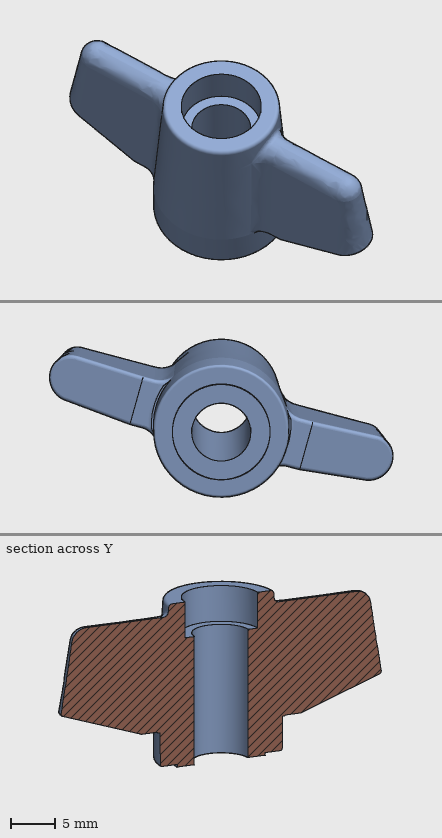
import cadquery as cq
import math

TOTAL_HEIGHT = 19.3
FOOT_HEIGHT = 0.3
COLLAR_TOP = 4.3

FOOT_DIAMETER = 11.0
COLLAR_DIAMETER = 15.25
HUB_TOP_DIAMETER = 13.1
COLLAR_EDGE_RADIUS = 0.3
HUB_TOP_EDGE_RADIUS = 0.45

BORE_DIAMETER = 6.65
COUNTERBORE_DIAMETER = 9.0
COUNTERBORE_DEPTH = 4.2

WING_TOP = 17.85
WING_BOTTOM = 4.4
WING_TOP_HALF_WIDTH = 1.72
WING_TOP_REACH = 18.37
SIDE_DRAFT = 5.0
TIP_DRAFT = 9.2
WING_TOP_EDGE_RADIUS = 1.79
WING_BOTTOM_EDGE_RADIUS = 0.4
UNDERCUT_START = 9.9
UNDERCUT_REACH = 20.0
UNDERCUT_TIP_HEIGHT = 7.85
CUT_MARGIN = 2.0

FLARE_RADIUS = 2.5
FLARE_SINK = 0.01
SADDLE_RADIUS = 0.55


def hub_radius(z):
    """Radius of the tapered hub wall at height z."""
    rise = (z - COLLAR_TOP) / (TOTAL_HEIGHT - COLLAR_TOP)
    return (COLLAR_DIAMETER + (HUB_TOP_DIAMETER - COLLAR_DIAMETER) * rise) / 2


def make_hub():
    """Foot, collar and tapered barrel as one turned body."""
    foot_radius = FOOT_DIAMETER / 2
    collar_radius = COLLAR_DIAMETER / 2
    profile = (
        cq.Workplane("XZ")
        .polyline([
            (0, 0),
            (foot_radius, 0),
            (foot_radius, FOOT_HEIGHT),
            (collar_radius, FOOT_HEIGHT),
            (collar_radius, COLLAR_TOP),
            (HUB_TOP_DIAMETER / 2, TOTAL_HEIGHT),
            (0, TOTAL_HEIGHT),
        ])
        .close()
    )
    hub = profile.revolve(360, (0, 0, 0), (0, 1, 0))
    hub = hub.faces(">Z").edges().fillet(HUB_TOP_EDGE_RADIUS)
    collar_underside = hub.faces("<Z[1]")
    return collar_underside.edges(cq.selectors.RadiusNthSelector(-1)).fillet(COLLAR_EDGE_RADIUS)


def wing_outline(z):
    """Horizontal section of the +X wing at height z: round tip, root flared towards the hub wall."""
    drop = WING_TOP - z
    half_width = WING_TOP_HALF_WIDTH + drop * math.tan(math.radians(SIDE_DRAFT))
    reach = WING_TOP_REACH + drop * math.tan(math.radians(TIP_DRAFT))
    root_radius = hub_radius(z) - FLARE_SINK

    center_y = half_width + FLARE_RADIUS
    center_x = math.sqrt((root_radius + FLARE_RADIUS) ** 2 - center_y ** 2)
    touch_scale = root_radius / (root_radius + FLARE_RADIUS)
    touch = (center_x * touch_scale, center_y * touch_scale)
    touch_angle = math.atan2(center_y, center_x)
    middle_angle = (touch_angle + math.pi + 1.5 * math.pi) / 2
    middle = (
        center_x + FLARE_RADIUS * math.cos(middle_angle),
        center_y + FLARE_RADIUS * math.sin(middle_angle),
    )
    tip_start = reach - half_width
    root_x = COUNTERBORE_DIAMETER / 2
    return (
        cq.Workplane("XY", origin=(0, 0, z))
        .moveTo(root_x, touch[1])
        .lineTo(*touch)
        .threePointArc(middle, (center_x, half_width))
        .lineTo(tip_start, half_width)
        .threePointArc((reach, 0), (tip_start, -half_width))
        .lineTo(center_x, -half_width)
        .threePointArc((middle[0], -middle[1]), (touch[0], -touch[1]))
        .lineTo(root_x, -touch[1])
        .close()
        .val()
    )


def make_wing():
    """Drafted +X wing with a sloping underside and rounded edges."""
    lower = wing_outline(WING_BOTTOM)
    upper = wing_outline(WING_TOP)
    wing = cq.Workplane(cq.Solid.makeLoft([lower, upper], True))
    slope = (UNDERCUT_TIP_HEIGHT - WING_BOTTOM) / (UNDERCUT_REACH - UNDERCUT_START)
    far_x = UNDERCUT_REACH + CUT_MARGIN
    undercut = (
        cq.Workplane("XZ")
        .polyline([
            (UNDERCUT_START, WING_BOTTOM),
            (far_x, WING_BOTTOM + slope * (far_x - UNDERCUT_START)),
            (far_x, WING_BOTTOM - CUT_MARGIN),
            (UNDERCUT_START, WING_BOTTOM - CUT_MARGIN),
        ])
        .close()
        .extrude(COLLAR_DIAMETER / 2, both=True)
    )
    wing = wing.cut(undercut)
    wing = wing.faces(">Z").edges("not <X").fillet(WING_TOP_EDGE_RADIUS)

    sloping_face = cq.selectors.ParallelDirSelector(cq.Vector(slope, 0, -1))
    flat_face = cq.selectors.StringSyntaxSelector("<Z")
    return wing.faces(flat_face + sloping_face).edges("not |Y").fillet(WING_BOTTOM_EDGE_RADIUS)


def fillet_saddles(body):
    """Blend the rounded wing tops into the hub wall they run against."""
    low_z = WING_TOP - WING_TOP_EDGE_RADIUS
    high_z = WING_TOP + SADDLE_RADIUS
    wall_radius = hub_radius(low_z)
    right_zone = cq.selectors.BoxSelector((0, -wall_radius, low_z), (wall_radius, wall_radius, high_z))
    left_zone = cq.selectors.BoxSelector((-wall_radius, -wall_radius, low_z), (0, wall_radius, high_z))
    return body.edges(right_zone + left_zone).fillet(SADDLE_RADIUS)


def trim_past_collar(body, hub):
    """Remove the blend that spills past the collar, leaving the hub untouched."""
    surplus = cq.Workplane("XY").circle(UNDERCUT_REACH).extrude(COLLAR_TOP).cut(hub)
    return body.cut(surplus)


def cut_bore(body):
    """Through bore with a counterbore from the top."""
    top = body.faces(">Z").workplane(origin=(0, 0, TOTAL_HEIGHT))
    return top.cboreHole(BORE_DIAMETER, COUNTERBORE_DIAMETER, COUNTERBORE_DEPTH)


hub = make_hub()
wing = make_wing()
body = hub.union(wing).union(wing.rotate((0, 0, 0), (0, 0, 1), 180))
body = fillet_saddles(body)
body = trim_past_collar(body, hub)
result = cut_bore(body)